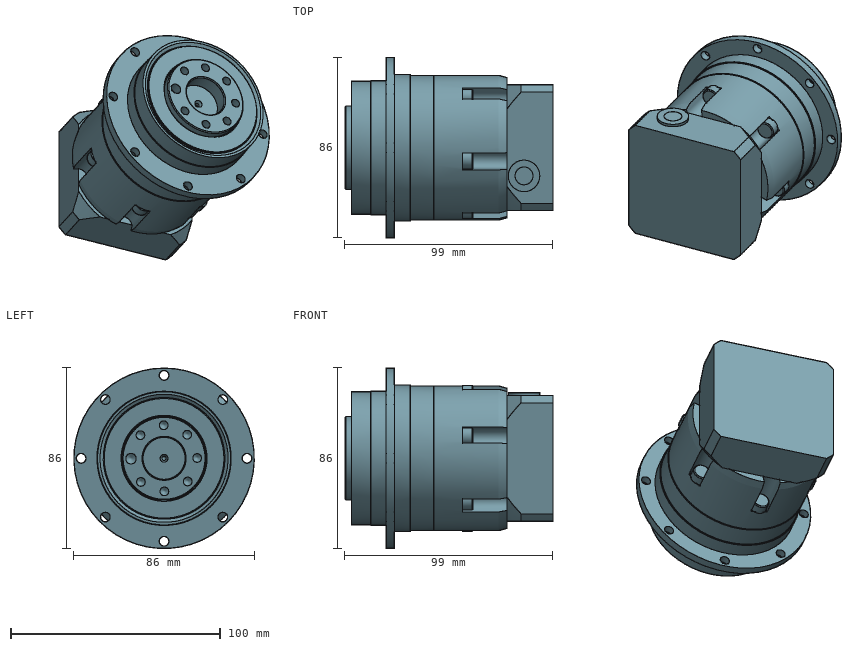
import cadquery as cq
import math


total_length = 99.0
front_face_x = 3.0
pilot_step_x = 12.1
flange_start_x = 19.5
flange_thickness = 4.0
flange_end_x = flange_start_x + flange_thickness
rear_pilot_end_x = 31.2
ring_joint_x = 42.2
body_taper_x = 73.2
body_end_x = 77.2

output_diameter = 40.0
front_diameter = 63.5
pilot_diameter = 64.0
flange_diameter = 86.0
rear_pilot_diameter = 70.0
body_diameter = 69.0
body_end_diameter = 66.8
edge_chamfer = 0.3
output_chamfer = 0.5
joint_groove_width = 0.4
joint_groove_depth = 0.25

recess_mouth_diameter = 61.0
recess_floor_diameter = 58.0
recess_depth = 1.0
seal_outer_diameter = 57.0
seal_inner_diameter = 41.0
seal_drop = 0.2

bore_diameter = 20.0
bore_depth = 8.0
bore_chamfer = 0.5
output_hole_count = 8
output_circle_diameter = 31.5
output_hole_turn = -0.6
thread_core_diameter = 4.13
thread_depth = 8.0
dowel_diameter = 5.0
dowel_depth = 6.0
drill_point_angle = 118.0
center_mouth_diameter = 3.7
center_taper_half_angle = 30.0
center_drill_diameter = 2.0
center_drill_depth = 3.0

flange_hole_count = 8
flange_circle_diameter = 79.0
flange_hole_diameter = 4.5

screw_count = 6
first_screw_angle = 41.0
screw_circle_radius = 31.1
screw_head_diameter = 8.5
screw_head_length = 5.0
screw_edge_chamfer = 0.5
slot_width = 8.1
slot_start_x = 56.0

block_width = 60.0
block_corner_radius = 40.0
block_front_radius = 35.3
block_taper_length = 6.6

plug_x = 85.2
plug_y = -13.4
plug_diameter = 15.0
plug_height = 1.3
plug_recess_diameter = 8.5
plug_recess_depth = 0.05


axis_direction = cq.Vector(1, 0, 0)


def rod(diameter, start_x, end_x, y=0.0, z=0.0):
    """Cylinder along X."""
    start = cq.Vector(start_x, y, z)
    return cq.Workplane(cq.Solid.makeCylinder(diameter / 2, end_x - start_x, start, axis_direction))


def cone(start_diameter, end_diameter, start_x, end_x, y=0.0, z=0.0):
    """Truncated cone along X."""
    start = cq.Vector(start_x, y, z)
    length = end_x - start_x
    return cq.Workplane(cq.Solid.makeCone(start_diameter / 2, end_diameter / 2, length, start, axis_direction))


def drilled_hole(diameter, depth, y=0.0, z=0.0, start_x=0.0):
    """Blind hole along X with a conical drill point."""
    point_length = diameter / 2 / math.tan(math.radians(drill_point_angle / 2))
    wall_end_x = start_x + depth
    point = cone(diameter, 0.0, wall_end_x, wall_end_x + point_length, y, z)
    return rod(diameter, start_x, wall_end_x, y, z).union(point)


def on_circle(radius, angle):
    """Y and Z of a point on a circle about X, with the angle taken from +Y toward +Z."""
    turn = math.radians(angle)
    return radius * math.cos(turn), radius * math.sin(turn)


def joint_groove(x):
    start_x = x - joint_groove_width / 2
    end_x = x + joint_groove_width / 2
    return rod(rear_pilot_diameter, start_x, end_x).cut(
        rod(body_diameter - 2 * joint_groove_depth, start_x, end_x)
    )


def make_front_ring():
    recess_floor_x = front_face_x + recess_depth
    ring = rod(front_diameter, front_face_x, pilot_step_x)
    ring = ring.cut(cone(recess_mouth_diameter, recess_floor_diameter, front_face_x, recess_floor_x))
    seal = rod(seal_outer_diameter, front_face_x + seal_drop, recess_floor_x)
    seal = seal.cut(rod(seal_inner_diameter, front_face_x, recess_floor_x))
    return ring.union(seal)


def make_housing():
    housing = rod(output_diameter, 0.0, pilot_step_x).faces("<X").chamfer(output_chamfer)
    housing = housing.union(make_front_ring())
    pilot = rod(pilot_diameter, pilot_step_x, flange_start_x).faces("<X").chamfer(edge_chamfer)
    housing = housing.union(pilot)
    housing = housing.union(rod(flange_diameter, flange_start_x, flange_end_x))
    rear_pilot = rod(rear_pilot_diameter, flange_end_x, rear_pilot_end_x).faces(">X").chamfer(edge_chamfer)
    housing = housing.union(rear_pilot)
    housing = housing.union(rod(body_diameter, rear_pilot_end_x, body_taper_x))
    housing = housing.union(cone(body_diameter, body_end_diameter, body_taper_x, body_end_x))
    return housing.cut(joint_groove(ring_joint_x))


def cut_output_holes(housing):
    bore_mouth = cone(bore_diameter + 2 * bore_chamfer, bore_diameter, 0.0, bore_chamfer)
    housing = housing.cut(rod(bore_diameter, 0.0, bore_depth)).cut(bore_mouth)
    taper_height = (center_mouth_diameter - center_drill_diameter) / 2
    taper_end_x = bore_depth + taper_height / math.tan(math.radians(center_taper_half_angle))
    housing = housing.cut(cone(center_mouth_diameter, center_drill_diameter, bore_depth, taper_end_x))
    housing = housing.cut(drilled_hole(center_drill_diameter, center_drill_depth, start_x=bore_depth))
    for index in range(output_hole_count):
        angle = output_hole_turn + index * 360 / output_hole_count
        y, z = on_circle(output_circle_diameter / 2, angle)
        if index == 0:
            hole = drilled_hole(dowel_diameter, dowel_depth, y, z)
        else:
            hole = drilled_hole(thread_core_diameter, thread_depth, y, z)
        housing = housing.cut(hole)
    return housing


def cut_flange_holes(housing):
    for index in range(flange_hole_count):
        y, z = on_circle(flange_circle_diameter / 2, index * 360 / flange_hole_count)
        housing = housing.cut(rod(flange_hole_diameter, flange_start_x, flange_end_x, y, z))
    return housing


def add_screws(housing):
    slot_length = body_end_x - slot_start_x
    for index in range(screw_count):
        angle = first_screw_angle + index * 360 / screw_count
        y, z = on_circle(screw_circle_radius, angle)
        mouth = (
            cq.Workplane("XY")
            .box(slot_length, screw_circle_radius, slot_width, centered=(False, False, True))
            .translate((slot_start_x, screw_circle_radius, 0))
            .rotate((0, 0, 0), (1, 0, 0), angle)
        )
        housing = housing.cut(rod(slot_width, slot_start_x, body_end_x, y, z)).cut(mouth)
        head = rod(screw_head_diameter, slot_start_x, slot_start_x + screw_head_length, y, z)
        housing = housing.union(head.faces(">X").chamfer(screw_edge_chamfer))
    return housing


def make_block():
    block_length = total_length - body_end_x
    block = cq.Workplane("XY").box(block_length, block_width, block_width, centered=(False, True, True))
    block = block.translate((body_end_x, 0, 0))
    taper_end_x = body_end_x + block_taper_length
    envelope = cone(2 * block_front_radius, 2 * block_corner_radius, body_end_x, taper_end_x)
    envelope = envelope.union(rod(2 * block_corner_radius, taper_end_x, total_length))
    return block.intersect(envelope)


def make_plug():
    top_z = block_width / 2 + plug_height
    plug = cq.Workplane("XY", origin=(plug_x, plug_y, 0)).circle(plug_diameter / 2).extrude(top_z)
    return plug.faces(">Z").workplane().hole(plug_recess_diameter, plug_recess_depth)


housing = add_screws(cut_flange_holes(cut_output_holes(make_housing())))
result = housing.union(make_block()).union(make_plug())